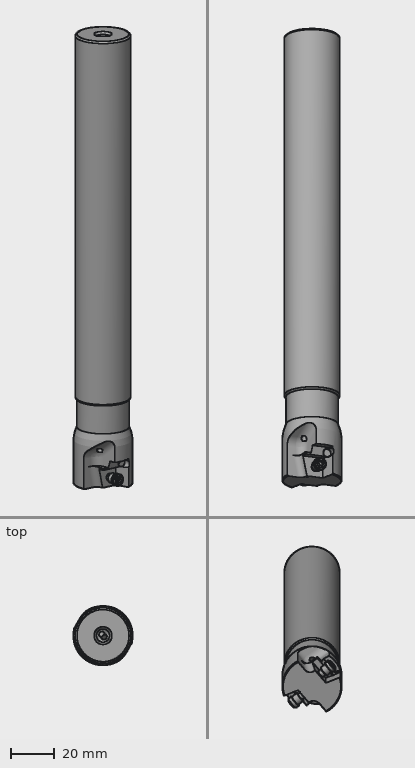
import cadquery as cq
import math

length = 214.0
flute_count = 2

shank_diameter = 25.5
shank_radius = shank_diameter / 2
neck_radius = 12.0
collar_radius = 13.0
head_diameter = 27.2
head_radius = head_diameter / 2
head_bottom = 0.5
foot_chamfer = 0.5
head_top = 21.4
collar_edge = 24.4
neck_bottom = 27.4
shank_bottom = 41.5
step_chamfer = 0.9
shank_chamfer = 0.9

bore_radius = 3.0
bore_mouth_radius = 4.0
bore_bottom = 30.0
drill_tip_angle = 118.0
branch_radius = 1.3
branch_start = (0, 0, bore_bottom)
branch_exit = (5.5, -6.5, 18.0)

flute_floor = 2.5
floor_top = 15.0
runout_angle = 38.0
runout_radius = 5.1
upper_wall_at_rim = -3.5
upper_wall_at_floor = -5.5
upper_wall_bottom = 10.7
upper_wall_radius = 4.3
lower_wall = -5.0
lower_wall_height = 15.0
lower_wall_tilt = 12.0
lower_wall_radius = 3.0

seat_floor = 6.0
back_at_floor = 2.8
back_at_rim = 5.1
seat_top = 9.8
step_inner = 9.0
step_outer = 10.3
step_top = 14.0
corner_relief_radius = 2.0
corner_relief_y = 3.6
corner_relief_z = 11.5

lip_width = 0.6

screw_y = -1.0
screw_z = 5.0
screw_tip = 1.7
thread_radius = 1.7
collar_start = 8.0
screw_collar_radius = 2.4
screw_head_start = 11.0
screw_head_radius = 2.8
screw_head_top = 13.3
screw_head_chamfer = 0.6
socket_sides = 6
socket_radius = 1.3
socket_depth = 1.5

reach = 2 * head_radius
clearance = 2.1


def around_axis(shape, angle):
    return shape.rotate((0, 0, 0), (0, 0, 1), angle)


def turned_body():
    profile = (
        cq.Workplane("XZ")
        .moveTo(0, head_bottom)
        .lineTo(head_radius - foot_chamfer, head_bottom)
        .lineTo(head_radius, head_bottom + foot_chamfer)
        .lineTo(head_radius, head_top)
        .lineTo(collar_radius, collar_edge)
        .lineTo(neck_radius, neck_bottom)
        .lineTo(neck_radius, shank_bottom - step_chamfer)
        .lineTo(shank_radius, shank_bottom)
        .lineTo(shank_radius, length - shank_chamfer)
        .lineTo(shank_radius - shank_chamfer, length)
        .lineTo(0, length)
        .close()
    )
    return profile.revolve(360, (0, 0, 0), (0, 1, 0))


def coolant_bore():
    tip_height = bore_radius / math.tan(math.radians(drill_tip_angle / 2))
    mouth_depth = bore_mouth_radius - bore_radius
    profile = (
        cq.Workplane("XZ")
        .moveTo(0, bore_bottom - tip_height)
        .lineTo(bore_radius, bore_bottom)
        .lineTo(bore_radius, length - mouth_depth)
        .lineTo(bore_mouth_radius, length)
        .lineTo(0, length)
        .close()
    )
    return profile.revolve(360, (0, 0, 0), (0, 1, 0))


def coolant_branch():
    start = cq.Vector(*branch_start)
    run = cq.Vector(*branch_exit) - start
    return cq.Workplane(cq.Solid.makeCylinder(branch_radius, run.Length, start, run))


def upper_flute():
    turn = math.radians(90 - runout_angle)
    corner_z = floor_top + runout_radius * math.tan(turn / 2)
    runout_end_z = corner_z + (reach - flute_floor) * math.tan(math.radians(runout_angle))
    side = (
        cq.Workplane("XZ")
        .moveTo(flute_floor, upper_wall_bottom)
        .lineTo(flute_floor, corner_z)
        .lineTo(reach, runout_end_z)
        .lineTo(reach, upper_wall_bottom)
        .close()
        .extrude(reach)
    )
    floor_corner = cq.selectors.NearestToPointSelector((flute_floor, -reach / 2, corner_z))
    side = side.edges(floor_corner).fillet(runout_radius)
    slope = (upper_wall_at_rim - upper_wall_at_floor) / (head_radius - flute_floor)
    wall_at_reach = upper_wall_at_floor + slope * (reach - flute_floor)
    plan = (
        cq.Workplane("XY")
        .moveTo(flute_floor, -reach)
        .lineTo(flute_floor, upper_wall_at_floor)
        .lineTo(reach, wall_at_reach)
        .lineTo(reach, -reach)
        .close()
        .extrude(runout_end_z)
    )
    margin = 0.2
    wall_corners = cq.selectors.BoxSelector(
        (flute_floor - margin, upper_wall_at_floor - margin, upper_wall_bottom + margin),
        (reach - margin, wall_at_reach + margin, runout_end_z),
    )
    return side.intersect(plan).edges(wall_corners).fillet(upper_wall_radius)


def lower_flute():
    block = (
        cq.Workplane("XY", origin=(flute_floor, lower_wall, -clearance))
        .rect(reach, -reach, centered=False)
        .extrude(lower_wall_height + clearance)
        .edges("|Z and <X and >Y")
        .fillet(lower_wall_radius)
    )
    return block.rotate((0, lower_wall, 0), (1, lower_wall, 0), lower_wall_tilt)


def insert_seat():
    side = (
        cq.Workplane("XZ", origin=(0, reach, 0))
        .moveTo(seat_floor, -clearance)
        .lineTo(seat_floor, seat_top)
        .lineTo(step_inner, seat_top)
        .lineTo(step_outer, step_top)
        .lineTo(reach, step_top)
        .lineTo(reach, -clearance)
        .close()
        .extrude(2 * reach)
    )
    plan = (
        cq.Workplane("XY", origin=(0, 0, -clearance))
        .moveTo(seat_floor, -reach)
        .lineTo(seat_floor, back_at_floor)
        .lineTo(head_radius, back_at_rim)
        .lineTo(reach, back_at_rim)
        .lineTo(reach, -reach)
        .close()
        .extrude(reach)
    )
    corner_relief = (
        cq.Workplane("YZ", origin=(step_inner, corner_relief_y, corner_relief_z))
        .circle(corner_relief_radius)
        .extrude(reach)
    )
    return side.intersect(plan).union(corner_relief)


def screw_blank():
    profile = (
        cq.Workplane("XY")
        .moveTo(screw_tip, 0)
        .lineTo(screw_tip, thread_radius)
        .lineTo(collar_start, thread_radius)
        .lineTo(collar_start, screw_collar_radius)
        .lineTo(screw_head_start, screw_collar_radius)
        .lineTo(screw_head_start, screw_head_radius)
        .lineTo(screw_head_top - screw_head_chamfer, screw_head_radius)
        .lineTo(screw_head_top, screw_head_radius - screw_head_chamfer)
        .lineTo(screw_head_top, 0)
        .close()
    )
    return profile.revolve(360, (0, 0, 0), (1, 0, 0)).translate((0, screw_y, screw_z))


def clamping_screw(angle):
    socket = (
        cq.Workplane("YZ", origin=(screw_head_top, screw_y, screw_z))
        .polygon(socket_sides, 2 * socket_radius)
        .extrude(-socket_depth)
    )
    return around_axis(screw_blank().cut(socket), angle)


def corner_lip():
    return (
        cq.Workplane("XY", origin=(-seat_floor, -lower_wall, head_bottom))
        .lineTo(lip_width, 0)
        .lineTo(0, -lip_width)
        .close()
        .extrude(-head_bottom)
    )


angles = [360 * i / flute_count for i in range(flute_count)]

holder = turned_body().cut(coolant_bore())
for angle in angles:
    for cutter in (upper_flute(), lower_flute(), insert_seat(), coolant_branch(), screw_blank()):
        holder = holder.cut(around_axis(cutter, angle))
holder = holder.union(corner_lip())

screws = [clamping_screw(angle) for angle in angles]

result = cq.Compound.makeCompound([holder.val(), *[screw.val() for screw in screws]])